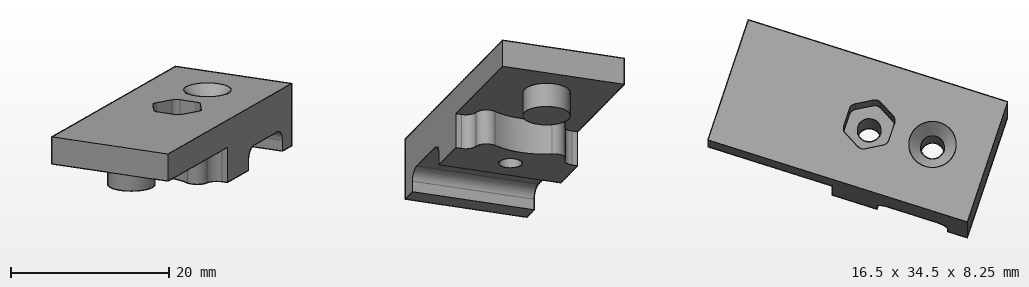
import cadquery as cq
import math

width = 16.5
length = 34.5
height = 8.25
plate_thickness = 3.6
back = length / 2
bottom = -height
plate_underside = -plate_thickness

rear_length = 17.97
finger_reach = 2.62
finger_radius = 1.5
finger_spacing = 9.1
cradle_radius = 8.2

slot_start = 2.62
slot_width = 9.4
slot_depth = 2.93
slot_corner_radius = 1.5

hole_diameter = 3.0
countersink_diameter = 6.0
countersink_angle = 90
countersunk_hole_distance = 7.3
nut_hole_distance = 15.73
nut_across_flats = 6.0
nut_depth = 3.0
nut_corner_radius = 1.0
pin_diameter = 6.0
pin_height = 3.17
pin_distance = 28.5


def make_plate():
    """Full-length plate with its top face at Z = 0."""
    return cq.Workplane("XY").box(width, length, plate_thickness, centered=(True, True, False)).translate(
        (0, 0, plate_underside)
    )


def make_rear_section():
    """Rear block whose front edge blends into two fingers with a round cradle between them."""
    side = width / 2
    face_y = back - rear_length
    finger_x = finger_spacing / 2
    finger_y = face_y - finger_reach + finger_radius
    tip = (finger_x, face_y - finger_reach)

    turn = math.acos(1 - finger_reach / (2 * finger_radius))
    bend_x = finger_x + finger_radius * math.sin(turn)
    bend_y = face_y - finger_reach / 2
    blend_x = finger_x + 2 * finger_radius * math.sin(turn)
    blend_mid_x = blend_x - finger_radius * math.sin(turn / 2)
    blend_mid_y = face_y - finger_radius * (1 - math.cos(turn / 2))

    center_distance = finger_radius + cradle_radius
    cradle_offset = math.sqrt(center_distance**2 - finger_x**2)
    cradle_bottom_y = finger_y - cradle_offset + cradle_radius
    joint_x = finger_x * cradle_radius / center_distance
    joint_y = finger_y - finger_radius * cradle_offset / center_distance

    return (
        cq.Workplane("XY", origin=(0, 0, bottom))
        .moveTo(-side, back)
        .lineTo(-side, face_y)
        .lineTo(-blend_x, face_y)
        .threePointArc((-blend_mid_x, blend_mid_y), (-bend_x, bend_y))
        .threePointArc((-tip[0], tip[1]), (-joint_x, joint_y))
        .threePointArc((0, cradle_bottom_y), (joint_x, joint_y))
        .threePointArc(tip, (bend_x, bend_y))
        .threePointArc((blend_mid_x, blend_mid_y), (blend_x, face_y))
        .lineTo(side, face_y)
        .lineTo(side, back)
        .close()
        .extrude(height)
    )


def make_slot():
    """Slot across the full width, open below, with rounded upper corners."""
    return (
        cq.Workplane("XY")
        .box(width, slot_width, slot_depth, centered=(True, True, False))
        .edges("|X and >Z")
        .fillet(slot_corner_radius)
        .translate((0, back - slot_start - slot_width / 2, bottom))
    )


def make_nut_pocket():
    """Hexagonal pocket with rounded corners, two of them pointing along X."""
    across_corners = nut_across_flats / math.cos(math.pi / 6)
    return (
        cq.Workplane("XY", origin=(0, back - nut_hole_distance, -nut_depth))
        .polygon(6, across_corners)
        .extrude(nut_depth)
        .edges("|Z")
        .fillet(nut_corner_radius)
    )


def make_pin():
    """Round pin below the front of the plate."""
    return (
        cq.Workplane("XY", origin=(0, back - pin_distance, plate_underside))
        .circle(pin_diameter / 2)
        .extrude(-pin_height)
    )


top_plane = cq.Workplane("XY")
body = make_plate().union(make_rear_section()).union(make_pin())
body = body.cut(make_slot()).cut(make_nut_pocket())
body = (
    body.copyWorkplane(top_plane)
    .center(0, back - countersunk_hole_distance)
    .cskHole(hole_diameter, countersink_diameter, countersink_angle)
)
result = (
    body.copyWorkplane(top_plane)
    .center(0, back - nut_hole_distance)
    .hole(hole_diameter)
)